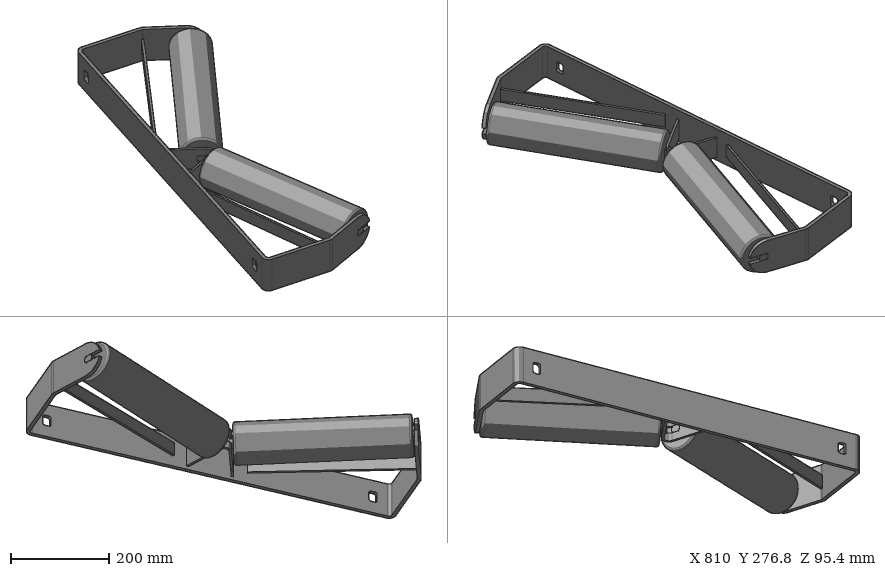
import cadquery as cq
import math


trough_angle = 25.0
roller_drop_angle = 1.04

frame_length = 810.0
frame_height = 80.0
frame_thickness = 8.0
bend_radius = 15.0
wing_bend_y = 153.0
wing_length = 131.0
mount_hole_spacing = 716.0
mount_hole_width = 18.0
mount_hole_height = 25.0
mount_hole_corner = 5.0

bracket_thickness = 5.0
bracket_height = 50.0
bracket_apex_radius = 15.0
bracket_apex_y = 99.0

roller_diameter = 89.0
roller_length = 365.0
roller_edge_radius = 5.0
shaft_diameter = 20.0
shaft_flat_width = 15.0
shaft_seat = 99.5
roller_gap = 4.0

strut_thickness = 5.0
strut_height = 30.0
strut_angle = 24.1
strut_base_x = 82.0

half_length = frame_length / 2
sin_trough = math.sin(math.radians(trough_angle))
cos_trough = math.cos(math.radians(trough_angle))
sin_drop = math.sin(math.radians(roller_drop_angle))
cos_drop = math.cos(math.radians(roller_drop_angle))

along_wing = cq.Vector(sin_trough, cos_trough, 0)
wing_inward = cq.Vector(cos_trough, -sin_trough, 0)
wing_corner = cq.Vector(-half_length, wing_bend_y, 0)
shaft_outer_end = wing_corner + along_wing * shaft_seat

roller_axis = wing_inward * cos_drop + cq.Vector(0, 0, -sin_drop)
roller_plane = cq.Plane(origin=shaft_outer_end, xDir=along_wing, normal=roller_axis)

apex_centre_y = bracket_apex_y - bracket_apex_radius
leg_foot_x = (bracket_apex_radius + (apex_centre_y - frame_thickness) * sin_trough) / cos_trough
apex_centre = cq.Vector(0, apex_centre_y, 0)
leg_outer_distance = (apex_centre - shaft_outer_end).dot(wing_inward) - bracket_apex_radius
leg_inner_distance = leg_outer_distance + bracket_thickness
shaft_length = leg_inner_distance / cos_drop
shaft_inner_z = -shaft_length * sin_drop


def mirrored(body):
    """Copy of a left-hand body on the right-hand side."""
    return body.mirror("YZ")


def make_shaft():
    """Left roller shaft, round with two flats that fit the slots."""
    flats = cq.Workplane(roller_plane).rect(shaft_diameter, shaft_flat_width).extrude(shaft_length)
    return cq.Workplane(roller_plane).circle(shaft_diameter / 2).extrude(shaft_length).intersect(flats)


def shaft_slot(start, length):
    """Slot holding the left shaft, open towards the wing tip."""
    plane = cq.Plane(roller_plane.origin + roller_axis * start, along_wing, roller_axis)
    reach = 2 * shaft_diameter
    seat = (
        cq.Workplane(plane)
        .circle(shaft_diameter / 2)
        .extrude(length)
        .intersect(cq.Workplane(plane).rect(shaft_diameter, shaft_flat_width).extrude(length))
    )
    opening = cq.Workplane(plane).center(reach / 2, 0).rect(reach, shaft_flat_width).extrude(length)
    return seat.union(opening)


def frame_outline(inset):
    """Sharp-cornered line of the bent strip from the left tip to the right tip."""
    mitre = inset * math.tan(math.radians(trough_angle / 2))
    tip = wing_corner + along_wing * wing_length + wing_inward * inset
    left = [
        (tip.x, tip.y),
        (-half_length + inset, wing_bend_y - mitre),
        (-half_length + inset, inset),
    ]
    right = [(-x, y) for x, y in reversed(left)]
    return left + right


def round_bends(strip, outline, radius):
    """Fillet every corner of the outline except the wing tips."""
    for x, y in outline[1:-1]:
        strip = strip.edges(cq.selectors.NearestToPointSelector((x, y, 0))).fillet(radius)
    return strip


def make_frame():
    """Bent strip with slotted, half-round wings and two mounting holes."""
    outer = frame_outline(0)
    inner = frame_outline(frame_thickness)
    strip = (
        cq.Workplane("XY")
        .workplane(offset=-frame_height / 2)
        .polyline(outer + inner[::-1])
        .close()
        .extrude(frame_height)
    )
    strip = round_bends(strip, outer, bend_radius)
    strip = round_bends(strip, inner, bend_radius - frame_thickness)

    tip_radius = frame_height / 2
    tip_centre = wing_corner + along_wing * (wing_length - tip_radius)
    tip_plane = cq.Plane(tip_centre - wing_inward * frame_thickness, along_wing, wing_inward)
    cut_depth = 3 * frame_thickness
    tip_waste = (
        cq.Workplane(tip_plane)
        .center(tip_radius, 0)
        .rect(2 * tip_radius, 3 * tip_radius)
        .extrude(cut_depth)
        .cut(cq.Workplane(tip_plane).circle(tip_radius).extrude(cut_depth))
    )
    slot = shaft_slot(-frame_thickness, 3 * frame_thickness)
    for waste in (tip_waste, slot):
        strip = strip.cut(waste).cut(mirrored(waste))

    holes = (
        cq.Workplane("XZ")
        .pushPoints([(-mount_hole_spacing / 2, 0), (mount_hole_spacing / 2, 0)])
        .rect(mount_hole_width, mount_hole_height)
        .extrude(-frame_thickness)
        .edges("|Y")
        .fillet(mount_hole_corner)
    )
    return strip.cut(holes)


def make_bracket():
    """Inverted V standing on the base, centred on the inner shaft ends."""
    inner_radius = bracket_apex_radius - bracket_thickness
    foot_width = bracket_thickness / cos_trough
    tangent_y = apex_centre_y + bracket_apex_radius * sin_trough
    inner_tangent_y = apex_centre_y + inner_radius * sin_trough
    strip = (
        cq.Workplane("XY")
        .workplane(offset=shaft_inner_z - bracket_height / 2)
        .moveTo(-leg_foot_x, frame_thickness)
        .lineTo(-bracket_apex_radius * cos_trough, tangent_y)
        .threePointArc((0, bracket_apex_y), (bracket_apex_radius * cos_trough, tangent_y))
        .lineTo(leg_foot_x, frame_thickness)
        .lineTo(leg_foot_x - foot_width, frame_thickness)
        .lineTo(inner_radius * cos_trough, inner_tangent_y)
        .threePointArc((0, apex_centre_y + inner_radius), (-inner_radius * cos_trough, inner_tangent_y))
        .lineTo(foot_width - leg_foot_x, frame_thickness)
        .close()
        .extrude(bracket_height)
    )
    slot = shaft_slot(leg_outer_distance - bracket_thickness, 3 * bracket_thickness)
    return strip.cut(slot).cut(mirrored(slot))


def make_roller():
    """Left drum with its flatted shaft, as one solid."""
    face_centre = shaft_outer_end + roller_axis * (frame_thickness + roller_gap)
    face_plane = cq.Plane(face_centre, along_wing, roller_axis)
    drum = (
        cq.Workplane(face_plane)
        .circle(roller_diameter / 2)
        .extrude(roller_length)
        .edges("%CIRCLE")
        .fillet(roller_edge_radius)
    )
    return drum.union(make_shaft())


def make_strut():
    """Flat bar sloping from the left side wall down to the base, with a square-cut foot."""
    wall_x = -half_length + frame_thickness
    slope = math.radians(strut_angle)
    foot_tip_x = -strut_base_x + strut_thickness * math.sin(slope)
    foot_tip_y = frame_thickness + strut_thickness * math.cos(slope)
    return (
        cq.Workplane("XY")
        .workplane(offset=-strut_height / 2)
        .polyline([
            (-strut_base_x, frame_thickness),
            (foot_tip_x, foot_tip_y),
            (wall_x, foot_tip_y + (foot_tip_x - wall_x) * math.tan(slope)),
            (wall_x, frame_thickness + (-strut_base_x - wall_x) * math.tan(slope)),
        ])
        .close()
        .extrude(strut_height)
    )


frame = make_frame()
bracket = make_bracket()
left_roller = make_roller()
left_strut = make_strut().cut(frame)
rollers = [left_roller, mirrored(left_roller)]
struts = [left_strut, mirrored(left_strut)]

result = cq.Compound.makeCompound(
    [frame.val(), bracket.val()]
    + [roller.val() for roller in rollers]
    + [strut.val() for strut in struts]
)